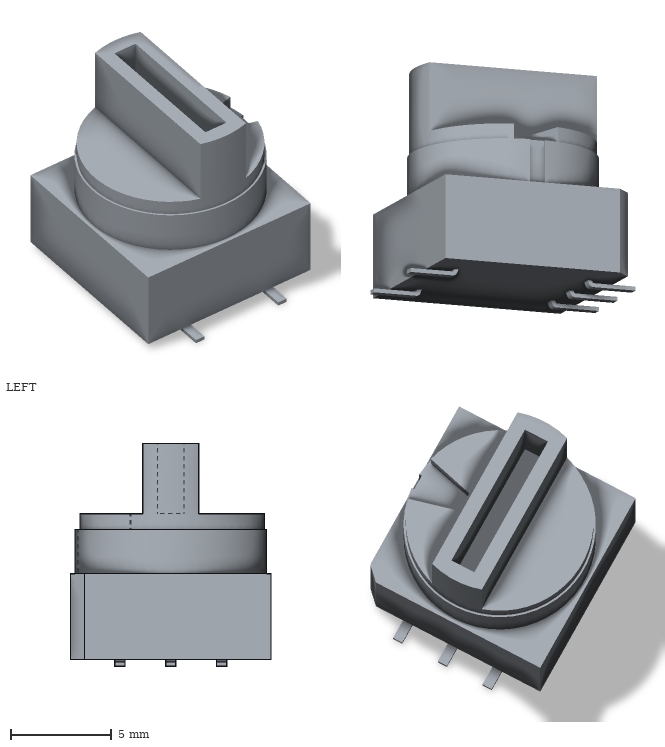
import cadquery as cq
import math

BODY_SIDE = 10.0
BODY_BOTTOM_Z = 0.34
BODY_TOP_Z = 4.61
CORNER_CHAMFER = 0.7

RING_RADIUS = 4.79
RING_TOP_Z = 6.82
NOTCH_WIDTH = 0.79
NOTCH_FLOOR_Y = 4.62

DIAL_RADIUS = 4.68
DIAL_TOP_Z = 7.6
WINDOW_INNER_RADIUS = 2.04
WINDOW_HALF_ANGLE = math.radians(14.5)

GRIP_TOP_Z = 11.1
GRIP_THICKNESS = 2.81
POCKET_LENGTH = 7.7
POCKET_WIDTH = 1.3
POCKET_DEPTH = GRIP_TOP_Z - DIAL_TOP_Z

LEAD_SPAN = 12.0
LEAD_THICKNESS = 0.2
LEAD_WIDTH = 0.52
LEAD_PITCH = 2.53
LEAD_INNER_X = 3.45
LEAD_INNER_BEND = 0.05
LEAD_LEAN = math.radians(20)
LEFT_LEAD_PITCHES = (-1, 0, 1)
RIGHT_LEAD_PITCHES = (-1, 1)


def make_disc(radius, bottom_z, top_z):
    return cq.Workplane("XY").workplane(offset=bottom_z).circle(radius).extrude(top_z - bottom_z)


def make_body():
    height = BODY_TOP_Z - BODY_BOTTOM_Z
    block = cq.Workplane("XY").workplane(offset=BODY_BOTTOM_Z).rect(BODY_SIDE, BODY_SIDE).extrude(height)
    return block.edges("|Z and <X and >Y").chamfer(CORNER_CHAMFER)


def make_ring():
    ring = make_disc(RING_RADIUS, BODY_TOP_Z, RING_TOP_Z)
    notch_depth = RING_RADIUS - NOTCH_FLOOR_Y
    notch = (
        cq.Workplane("XY")
        .workplane(offset=BODY_TOP_Z)
        .center(0, NOTCH_FLOOR_Y + notch_depth / 2)
        .rect(NOTCH_WIDTH, notch_depth)
        .extrude(RING_TOP_Z - BODY_TOP_Z)
    )
    return ring.cut(notch)


def make_window():
    """Sector about the dial axis, opening through the dial's +Y edge."""

    def point(radius, angle):
        return radius * math.sin(angle), radius * math.cos(angle)

    return (
        cq.Workplane("XY")
        .workplane(offset=RING_TOP_Z)
        .moveTo(*point(WINDOW_INNER_RADIUS, -WINDOW_HALF_ANGLE))
        .lineTo(*point(RING_RADIUS, -WINDOW_HALF_ANGLE))
        .threePointArc(point(RING_RADIUS, 0), point(RING_RADIUS, WINDOW_HALF_ANGLE))
        .lineTo(*point(WINDOW_INNER_RADIUS, WINDOW_HALF_ANGLE))
        .threePointArc(point(WINDOW_INNER_RADIUS, 0), point(WINDOW_INNER_RADIUS, -WINDOW_HALF_ANGLE))
        .close()
        .extrude(DIAL_TOP_Z - RING_TOP_Z)
    )


def make_grip():
    """Bar whose ends follow the dial's round edge."""
    bar = (
        cq.Workplane("XY")
        .workplane(offset=DIAL_TOP_Z)
        .rect(2 * DIAL_RADIUS, GRIP_THICKNESS)
        .extrude(GRIP_TOP_Z - DIAL_TOP_Z)
        .intersect(make_disc(DIAL_RADIUS, DIAL_TOP_Z, GRIP_TOP_Z))
    )
    return bar.faces(">Z").workplane().rect(POCKET_LENGTH, POCKET_WIDTH).cutBlind(-POCKET_DEPTH)


def make_lead(side, y):
    """Flat foot that bends up into the body; side is -1 for -X and 1 for +X."""
    outer_bend = LEAD_INNER_BEND + LEAD_THICKNESS
    turn = math.pi / 2 - LEAD_LEAN
    top_z = BODY_BOTTOM_Z + LEAD_THICKNESS
    lean_offset = (BODY_BOTTOM_Z - outer_bend) * math.tan(LEAD_LEAN)
    bend_x = LEAD_INNER_X + lean_offset + outer_bend / math.cos(LEAD_LEAN)

    def bend_point(radius, angle):
        return side * (bend_x - radius * math.sin(angle)), outer_bend - radius * math.cos(angle)

    def leg_end(radius):
        x = bend_x - radius / math.cos(LEAD_LEAN) - (top_z - outer_bend) * math.tan(LEAD_LEAN)
        return side * x, top_z

    tip_x = side * LEAD_SPAN / 2
    return (
        cq.Workplane("XZ", origin=(0, y, 0))
        .moveTo(tip_x, 0)
        .lineTo(*bend_point(outer_bend, 0))
        .threePointArc(bend_point(outer_bend, turn / 2), bend_point(outer_bend, turn))
        .lineTo(*leg_end(outer_bend))
        .lineTo(*leg_end(LEAD_INNER_BEND))
        .lineTo(*bend_point(LEAD_INNER_BEND, turn))
        .threePointArc(bend_point(LEAD_INNER_BEND, turn / 2), bend_point(LEAD_INNER_BEND, 0))
        .lineTo(tip_x, LEAD_THICKNESS)
        .close()
        .extrude(LEAD_WIDTH / 2, both=True)
    )


dial = make_disc(DIAL_RADIUS, RING_TOP_Z, DIAL_TOP_Z).cut(make_window())
result = make_body().union(make_ring()).union(dial).union(make_grip())
for side, pitches in ((-1, LEFT_LEAD_PITCHES), (1, RIGHT_LEAD_PITCHES)):
    for pitch in pitches:
        result = result.union(make_lead(side, pitch * LEAD_PITCH))